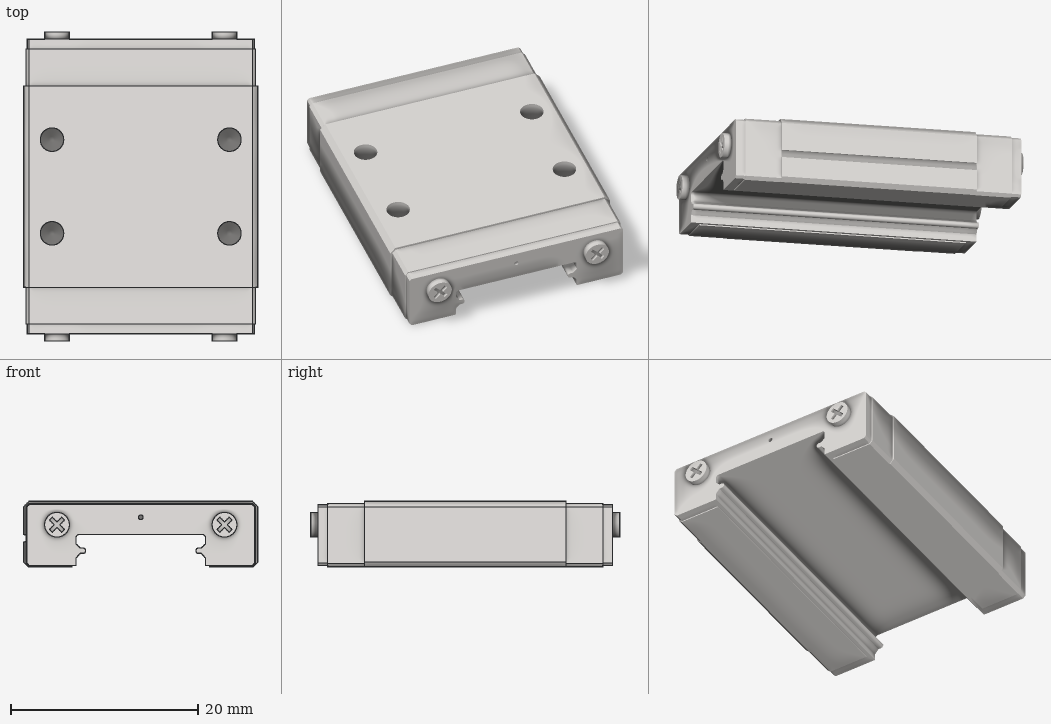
import cadquery as cq
import math

total_length = 33.0
block_width = 25.0
block_height = 7.0

block_length = 21.5
cap_length = 29.37
plate_length = 31.48

flat_top_width = 23.83
cap_width = 24.55
plate_width = 24.3
cap_top = 6.75
plate_top = 6.63
plate_bottom = 0.115
lower_chamfer_block = 0.5
lower_chamfer_cap = 0.35
lower_chamfer_plate = 0.25

channel_top = 3.43
channel_corner_radius = 0.33
channel_half_width = 6.9
lip_upper_base_z = 2.45
lip_upper_z = 2.0
lip_lower_z = 1.42
lip_lower_base_z = 0.92
lip_root_inset = 0.43
lip_flat_inset = 0.73
relief_half_width = 7.35

screw_x = 8.95
screw_z = 4.5
screw_head_radius = 1.32
cross_length = 1.85
cross_width = 0.43
cross_depth = 0.33
port_z = 5.28
port_radius = 0.248
mount_spacing_x = 18.95
mount_spacing_y = 10.0
mount_radius = 1.25
mount_depth = 2.97
drill_point_angle = 118.0
groove_z = 3.05
groove_radius = 0.4


def extrude_along_y(profile, length):
    """Extrude an XZ profile symmetrically about the XZ plane."""
    return profile.extrude(length / 2, both=True)


def bar(width, bottom, top, lower_chamfer, length):
    """Rectangular bar with chamfered long edges."""
    half = width / 2
    upper_chamfer = (width - flat_top_width) / 2
    right_side = [
        (half - lower_chamfer, bottom),
        (half, bottom + lower_chamfer),
        (half, top - upper_chamfer),
        (half - upper_chamfer, top),
    ]
    left_side = [(-x, z) for x, z in reversed(right_side)]
    profile = cq.Workplane("XZ").polyline(right_side + left_side).close()
    return extrude_along_y(profile, length)


def rail_channel():
    """Rail space open at the bottom, with a rounded lip reaching in from each wall."""
    wall = channel_half_width
    root = wall - lip_root_inset
    flat = wall - lip_flat_inset
    lip_radius = (lip_upper_z - lip_lower_z) / 2
    lip_mid_z = (lip_upper_z + lip_lower_z) / 2
    corner = channel_corner_radius
    corner_mid = corner * (1 - math.sqrt(0.5))
    half_profile = (
        cq.Workplane("XZ")
        .moveTo(0, channel_top)
        .lineTo(wall - corner, channel_top)
        .threePointArc((wall - corner_mid, channel_top - corner_mid), (wall, channel_top - corner))
        .lineTo(wall, lip_upper_base_z)
        .lineTo(root, lip_upper_z)
        .lineTo(flat, lip_upper_z)
        .threePointArc((flat - lip_radius, lip_mid_z), (flat, lip_lower_z))
        .lineTo(root, lip_lower_z)
        .lineTo(wall, lip_lower_base_z)
        .lineTo(wall, 0)
        .lineTo(0, 0)
        .close()
    )
    half_channel = extrude_along_y(half_profile, plate_length)
    relief = cq.Workplane("XY").box(2 * relief_half_width, plate_length, 2 * plate_bottom)
    return half_channel.union(half_channel.mirror("YZ")).union(relief)


def screws():
    """Screws running the full length, with heads standing out at both ends."""
    centres = [(-screw_x, screw_z), (screw_x, screw_z)]
    circles = cq.Workplane("XZ").pushPoints(centres).circle(screw_head_radius)
    return extrude_along_y(circles, total_length)


def cross_recesses():
    """Diagonal cross recess in every screw head."""
    recess_y = (total_length - cross_depth) / 2
    recesses = cq.Workplane("XY")
    for x in (-screw_x, screw_x):
        for y in (-recess_y, recess_y):
            for angle in (45, -45):
                arm = cq.Workplane("XY").box(cross_length, cross_depth, cross_width)
                arm = arm.rotate((0, 0, 0), (0, 1, 0), angle)
                recesses = recesses.add(arm.translate((x, y, screw_z)))
    return recesses.combine()


def mounting_holes():
    """Four blind holes in the top face with conical drill points."""
    point_depth = mount_radius / math.tan(math.radians(drill_point_angle / 2))
    floor_z = block_height - mount_depth
    drill = (
        cq.Workplane("XZ")
        .moveTo(0, block_height)
        .lineTo(mount_radius, block_height)
        .lineTo(mount_radius, floor_z)
        .lineTo(0, floor_z - point_depth)
        .close()
        .revolve(360, (0, 0, 0), (0, 1, 0))
    )
    holes = cq.Workplane("XY")
    for x in (-mount_spacing_x / 2, mount_spacing_x / 2):
        for y in (-mount_spacing_y / 2, mount_spacing_y / 2):
            holes = holes.add(drill.translate((x, y, 0)))
    return holes.combine()


def side_groove():
    """Half-round groove along the -X side of the block."""
    circle = cq.Workplane("XZ").center(-block_width / 2, groove_z).circle(groove_radius)
    return extrude_along_y(circle, block_length)


def lubrication_ports():
    """Small hole through the end plate at each end."""
    circle = cq.Workplane("XZ").center(0, port_z).circle(port_radius)
    holes = extrude_along_y(circle, plate_length)
    core = cq.Workplane("XY").box(block_width, cap_length, 2 * block_height)
    return holes.cut(core)


block = bar(block_width, 0, block_height, lower_chamfer_block, block_length)
caps = bar(cap_width, 0, cap_top, lower_chamfer_cap, cap_length)
plates = bar(plate_width, plate_bottom, plate_top, lower_chamfer_plate, plate_length)

result = block.union(caps).union(plates).cut(rail_channel()).union(screws())
for cutter in (side_groove(), cross_recesses(), mounting_holes(), lubrication_ports()):
    result = result.cut(cutter)